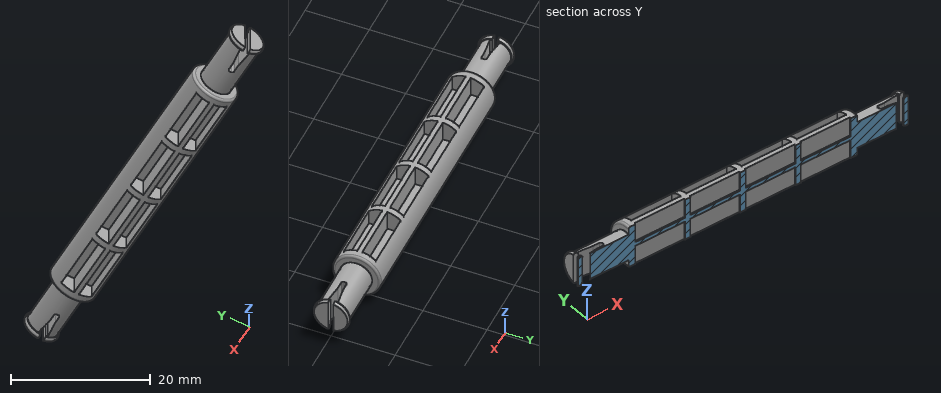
import cadquery as cq

total_length = 60.0
body_length = 41.65
rim_width = 0.8

body_diameter = 7.5
shaft_diameter = 5.0
rim_diameter = 5.6
rim_edge_diameter = 5.2

body_edge_radius = 0.35

pocket_columns = 4
pocket_length = 9.0
pocket_gap = 1.0
column_pitch = pocket_length + pocket_gap
rib_thickness = 0.8
web_thickness = rib_thickness
pocket_outer_y = shaft_diameter / 2

slot_width = 0.85
slot_depth = 5.0
slot_corner_radius = 0.3
relief_width = 1.5
relief_start = 0.9
relief_end = 3.55


def make_rim():
    """Rounded snap rim on the +X end, bulging out of the shaft surface."""
    edge_radius = rim_edge_diameter / 2
    end_x = total_length / 2
    inner_x = end_x - rim_width
    profile = (
        cq.Workplane("XY")
        .moveTo(inner_x, 0)
        .lineTo(inner_x, edge_radius)
        .threePointArc((end_x - rim_width / 2, rim_diameter / 2), (end_x, edge_radius))
        .lineTo(end_x, 0)
        .close()
    )
    return profile.revolve(360, (0, 0, 0), (1, 0, 0))


def make_slot():
    """Slot along Z through the +X shaft end, with rounded bottom corners and a tapered relief."""
    end_x = total_length / 2
    slot = cq.Workplane().box(slot_depth, slot_width, body_diameter)
    slot = slot.faces("<X").edges("|Z").fillet(slot_corner_radius)
    slot = slot.translate((end_x - slot_depth / 2, 0, 0))
    relief_outline = [
        (end_x - relief_start, relief_width / 2),
        (end_x - relief_end, slot_width / 2),
        (end_x - relief_end, -slot_width / 2),
        (end_x - relief_start, -relief_width / 2),
    ]
    relief = cq.Workplane().polyline(relief_outline).close().extrude(body_diameter / 2, both=True)
    return slot.union(relief)


def make_pockets():
    """Rectangular pockets in four columns, on both sides of the rib and of the web."""
    width = pocket_outer_y - rib_thickness / 2
    depth = (body_diameter - web_thickness) / 2
    center_y = (pocket_outer_y + rib_thickness / 2) / 2
    center_z = (web_thickness + depth) / 2
    first_x = -(pocket_columns - 1) / 2 * column_pitch
    centers = [
        (first_x + column * column_pitch, side_y * center_y, side_z * center_z)
        for column in range(pocket_columns)
        for side_y in (-1, 1)
        for side_z in (-1, 1)
    ]
    return cq.Workplane().pushPoints(centers).box(pocket_length, width, depth)


def make_cylinder(length, diameter):
    """Cylinder along X, centred on the origin."""
    return cq.Workplane("YZ", origin=(-length / 2, 0, 0)).circle(diameter / 2).extrude(length)


body = make_cylinder(body_length, body_diameter).edges().fillet(body_edge_radius)
result = body.union(make_cylinder(total_length, shaft_diameter)).cut(make_pockets())

rim = make_rim()
slot = make_slot()
result = result.union(rim).union(rim.mirror("YZ"))
result = result.cut(slot).cut(slot.mirror("YZ"))